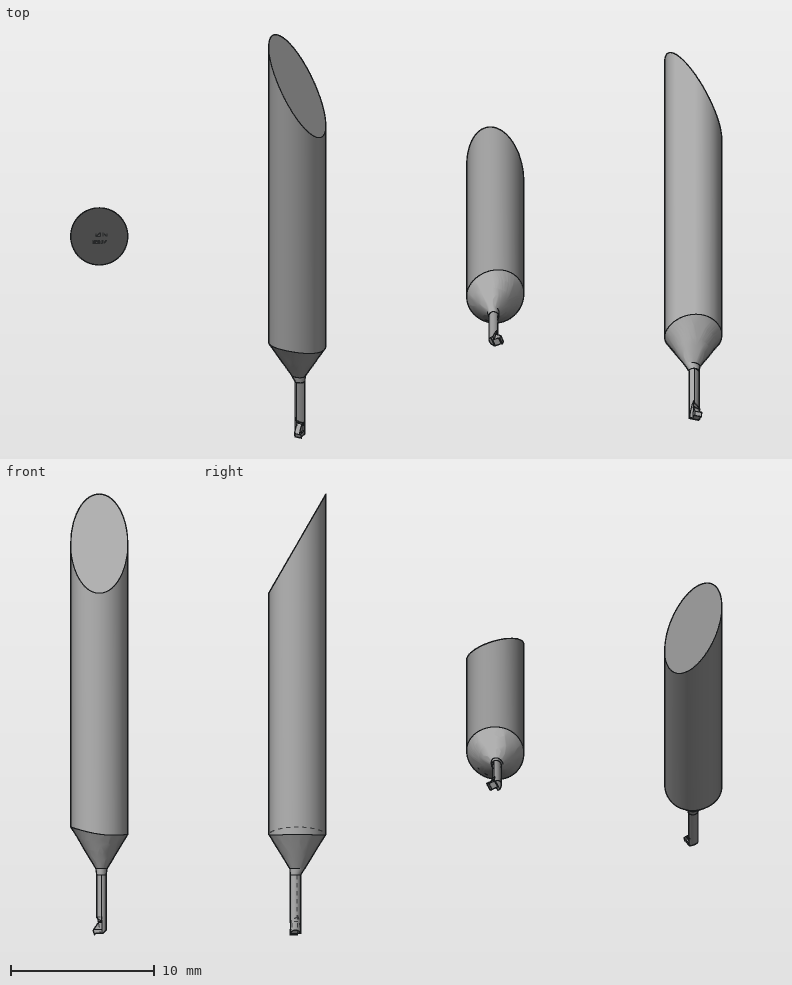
import cadquery as cq
import math

length = 30.7
shank_radius = 2.0
bevel_angle = 60.0

axis_x = 0.15
cone_bottom_z = 4.6
cone_wide_z = 7.0
cone_small_x_radius = 0.4
cone_small_y_radius = 0.52
cone_wide_x_radius = shank_radius - axis_x
cone_wide_y_radius = shank_radius
cone_top_z = 7.98

neck_y = -0.12
neck_x_radius = 0.35
neck_y_radius = 0.37
neck_top_z = 4.18
neck_bottom_z = 0.1
end_chamfer = 0.25
neck_left_edge_y = -0.03
flank_mid_x = -0.05
front_flank_mid_y = -0.28
back_flank_mid_y = 0.15

seat_x = 0.18
seat_y = 0.0
seat_front_z = 0.98
seat_back_z = 1.23

relief_top_z = 1.47
relief_bottom_x = 0.1

tip_top_z = 0.92
tip_shoulder_x = -0.15
tip_shoulder_z = 0.75
tip_outer_x = -0.43
tip_outer_z = 0.3
tip_point_x = -0.35
tip_heel_x = -0.25

groove_bottom_z = 0.37
groove_top_z = 0.85
groove_depth = 0.12

neck_left_x = axis_x - neck_x_radius
neck_right_x = axis_x + neck_x_radius
neck_front_y = neck_y - neck_y_radius
neck_back_y = neck_y + neck_y_radius


def prism_along_y(points, front_y, back_y):
    """Extrude an XZ outline between two Y positions."""
    plane = cq.Workplane("XZ", origin=(0, front_y, 0))
    return plane.polyline(points).close().extrude(front_y - back_y)


def make_cone():
    """Elliptical cone, continued upward until it is wider than the shank."""
    growth = (cone_top_z - cone_bottom_z) / (cone_wide_z - cone_bottom_z)
    top_x_radius = cone_small_x_radius + growth * (cone_wide_x_radius - cone_small_x_radius)
    top_y_radius = cone_small_y_radius + growth * (cone_wide_y_radius - cone_small_y_radius)
    return (
        cq.Workplane("XY", origin=(axis_x, 0, cone_bottom_z))
        .ellipse(cone_small_x_radius, cone_small_y_radius)
        .workplane(offset=cone_top_z - cone_bottom_z)
        .ellipse(top_x_radius, top_y_radius)
        .loft(ruled=True)
    )


def make_cylinder(bottom_z, top_z):
    """Stretch of the round shank."""
    return cq.Workplane("XY", origin=(0, 0, bottom_z)).circle(shank_radius).extrude(top_z - bottom_z)


def make_shank():
    """Cylinder with a bevelled top and an offset conical lower end."""
    lower_end = make_cylinder(cone_bottom_z, cone_top_z).intersect(make_cone())
    body = make_cylinder(cone_top_z, length).union(lower_end).clean()
    bevel_drop = 2 * shank_radius * math.tan(math.radians(bevel_angle))
    bevel = (
        cq.Workplane("YZ")
        .polyline([
            (shank_radius, length),
            (-shank_radius, length - bevel_drop),
            (-shank_radius, length),
        ])
        .close()
        .extrude(shank_radius, both=True)
    )
    return body.cut(bevel)


def make_neck():
    """Thin neck, round on +X and creased on -X, with its collar and a chamfered lower corner."""
    neck = (
        cq.Workplane("XY", origin=(0, 0, neck_bottom_z))
        .moveTo(axis_x, neck_front_y)
        .threePointArc((neck_right_x, neck_y), (axis_x, neck_back_y))
        .threePointArc((flank_mid_x, back_flank_mid_y), (neck_left_x, neck_left_edge_y))
        .threePointArc((flank_mid_x, front_flank_mid_y), (axis_x, neck_front_y))
        .close()
        .extrude(neck_top_z - neck_bottom_z)
    )
    collar = (
        cq.Workplane("XY", origin=(axis_x, neck_y, neck_top_z))
        .ellipse(neck_x_radius, neck_y_radius)
        .workplane(offset=cone_bottom_z - neck_top_z)
        .center(0, -neck_y)
        .ellipse(cone_small_x_radius, cone_small_y_radius)
        .loft()
    )
    corner = prism_along_y(
        [
            (neck_right_x, neck_bottom_z),
            (neck_right_x, neck_bottom_z + end_chamfer),
            (neck_right_x - end_chamfer, neck_bottom_z),
        ],
        neck_front_y,
        neck_back_y,
    )
    return neck.cut(corner).union(collar)


def make_seat():
    """Space for the tip, with a sloping ceiling."""
    return (
        cq.Workplane("YZ", origin=(neck_left_x, 0, 0))
        .polyline([
            (neck_front_y, 0),
            (neck_front_y, seat_front_z),
            (seat_y, seat_back_z),
            (seat_y, 0),
        ])
        .close()
        .extrude(seat_x - neck_left_x)
    )


def make_relief():
    """Wedge removed from the neck behind the tip."""
    return prism_along_y(
        [
            (neck_left_x, neck_bottom_z),
            (neck_left_x, relief_top_z),
            (relief_bottom_x, neck_bottom_z),
        ],
        seat_y,
        neck_back_y,
    )


def make_holder():
    """Shank and neck in one piece, ready for the tip."""
    return make_shank().union(make_neck()).cut(make_seat()).cut(make_relief())


def make_cutting_tip():
    """Hooked cutting tip with a chip groove in its front face."""
    outline = [
        (seat_x, neck_bottom_z),
        (seat_x, tip_top_z),
        (0, tip_top_z),
        (tip_shoulder_x, tip_shoulder_z),
        (tip_outer_x, tip_outer_z),
        (tip_point_x, 0),
        (tip_heel_x, neck_bottom_z),
    ]
    blank = prism_along_y(outline, neck_front_y, seat_y)
    groove = prism_along_y(
        [
            (tip_outer_x, groove_bottom_z),
            (seat_x, groove_bottom_z),
            (seat_x, groove_top_z),
            (tip_outer_x, groove_top_z),
        ],
        neck_front_y,
        neck_front_y + groove_depth,
    )
    return blank.cut(groove)


holder = make_holder()
cutting_tip = make_cutting_tip()
result = cq.Compound.makeCompound([holder.solids().val(), cutting_tip.solids().val()])